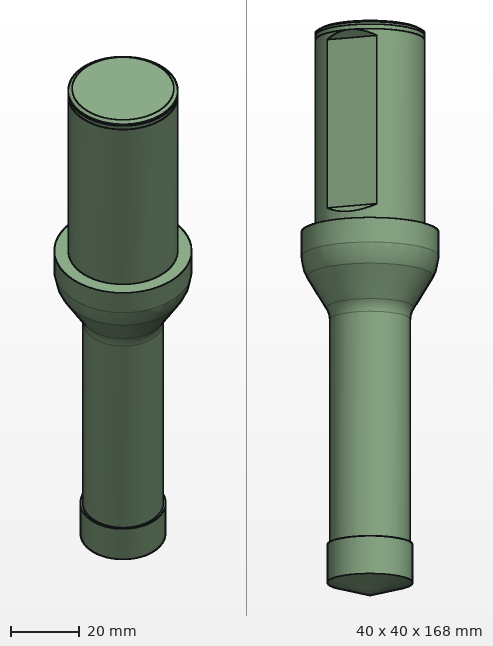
import cadquery as cq
import math

TOTAL_LENGTH = 168.0

TIP_RADIUS = 24.9 / 2
POINT_HEIGHT = 3.9
TIP_TOP_Z = 15.1

NECK_RADIUS = 23.5 / 2
COLLAR_RADIUS = 40.0 / 2
NECK_TOP_Z = 82.2
COLLAR_BOTTOM_Z = 101.0
COLLAR_TOP_Z = 108.2
FLARE_ANGLE = math.radians(31)
NECK_FILLET_RADIUS = 6.9

SHANK_RADIUS = 32.0 / 2
SHANK_CHAMFER_WIDTH = 1.2
SHANK_CHAMFER_HEIGHT = 0.7
RIM_HEIGHT = 0.7
GROOVE_HEIGHT = 1.3
GROOVE_DEPTH = 0.08

FLAT_DEPTH = 2.0
FLAT_BOTTOM_Z = 111.2
FLAT_TOP_Z = 165.3


def make_tip():
    """Short cylinder ending in a cone at the bottom."""
    return (
        cq.Workplane("XZ")
        .moveTo(0, 0)
        .lineTo(TIP_RADIUS, POINT_HEIGHT)
        .lineTo(TIP_RADIUS, TIP_TOP_Z)
        .lineTo(0, TIP_TOP_Z)
        .close()
        .revolve(360, (0, 0, 0), (0, 1, 0))
    )


def arc_point(center, radius, angle):
    """Point at an angle on a circle in the radius-height plane."""
    return (center[0] + radius * math.cos(angle), center[1] + radius * math.sin(angle))


def make_holder_blank():
    """Neck, flared collar and shank, turned about Z."""
    fillet_center = (NECK_RADIUS + NECK_FILLET_RADIUS, NECK_TOP_Z)
    slope_start = arc_point(fillet_center, NECK_FILLET_RADIUS, math.pi - FLARE_ANGLE)
    fillet_middle = arc_point(fillet_center, NECK_FILLET_RADIUS, math.pi - FLARE_ANGLE / 2)

    slope_rise_to_wall = (COLLAR_RADIUS - slope_start[0]) / math.tan(FLARE_ANGLE)
    corner_z = slope_start[1] + slope_rise_to_wall
    round_radius = (COLLAR_BOTTOM_Z - corner_z) / math.tan(FLARE_ANGLE / 2)
    round_center = (COLLAR_RADIUS - round_radius, COLLAR_BOTTOM_Z)
    slope_end = arc_point(round_center, round_radius, -FLARE_ANGLE)
    round_middle = arc_point(round_center, round_radius, -FLARE_ANGLE / 2)

    chamfer_bottom_z = TOTAL_LENGTH - SHANK_CHAMFER_HEIGHT
    return (
        cq.Workplane("XZ")
        .moveTo(0, TIP_TOP_Z)
        .lineTo(NECK_RADIUS, TIP_TOP_Z)
        .lineTo(NECK_RADIUS, NECK_TOP_Z)
        .threePointArc(fillet_middle, slope_start)
        .lineTo(*slope_end)
        .threePointArc(round_middle, (COLLAR_RADIUS, COLLAR_BOTTOM_Z))
        .lineTo(COLLAR_RADIUS, COLLAR_TOP_Z)
        .lineTo(SHANK_RADIUS, COLLAR_TOP_Z)
        .lineTo(SHANK_RADIUS, chamfer_bottom_z)
        .lineTo(SHANK_RADIUS - SHANK_CHAMFER_WIDTH, TOTAL_LENGTH)
        .lineTo(0, TOTAL_LENGTH)
        .close()
        .revolve(360, (0, 0, 0), (0, 1, 0))
    )


def make_groove_cutter():
    """Ring that cuts a shallow groove just below the shank rim."""
    groove_top_z = TOTAL_LENGTH - SHANK_CHAMFER_HEIGHT - RIM_HEIGHT
    return (
        cq.Workplane("XY", origin=(0, 0, groove_top_z))
        .circle(COLLAR_RADIUS)
        .circle(SHANK_RADIUS - GROOVE_DEPTH)
        .extrude(-GROOVE_HEIGHT)
    )


def make_flat_cutter():
    """Block across the +Y side of the shank, with 45 degree ends."""
    floor_y = SHANK_RADIUS - FLAT_DEPTH
    return (
        cq.Workplane("YZ")
        .moveTo(SHANK_RADIUS, FLAT_BOTTOM_Z)
        .lineTo(floor_y, FLAT_BOTTOM_Z + FLAT_DEPTH)
        .lineTo(floor_y, FLAT_TOP_Z - FLAT_DEPTH)
        .lineTo(SHANK_RADIUS, FLAT_TOP_Z)
        .close()
        .extrude(SHANK_RADIUS, both=True)
    )


tip = make_tip()
holder = make_holder_blank().cut(make_groove_cutter()).cut(make_flat_cutter())

result = cq.Compound.makeCompound([tip.val(), holder.val()])